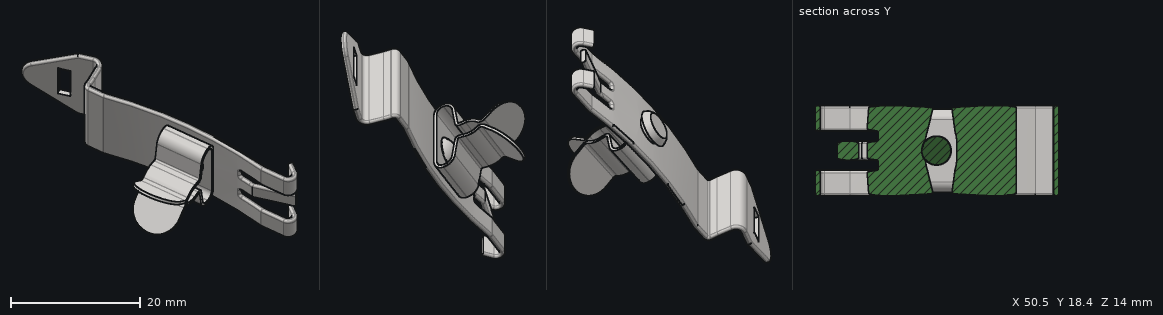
import cadquery as cq
import math


STRIP_WIDTH = 14.0
STRIP_THICKNESS = 0.9
EDGE_RADIUS = 0.4
ARCH_LEFT = -15.2
ARCH_RIGHT = 13.4
ARCH_SLOPE = 11.4
TIP_X = -31.63
TIP_RADIUS = 3.0
TIP_HALF_ANGLE = 30.0
PLATE_TILT = 15.0
PLATE_RISE = 5.87
RISER_X = -18.5
RISER_LEAN = 5.8
LEAN_RISE = 1.36
PLATE_BEND = 1.3
LEAN_BEND = 12.5
FOOT_BEND = 0.6
WINDOW_LENGTH = 2.0
WINDOW_HEIGHT = 6.0
WINDOW_FROM_TIP = 6.0
HOOK_BEND = 1.05
HOOK_START_X = 17.35
HOOK_TURN = 140.0
HOOK_STRAIGHT = 1.78
TONGUE_WIDTH = 3.0
SLOT_WIDTH = 1.5
SLOT_END_X = 9.05
SLOT_CORNER_RADIUS = 0.3
TONGUE_KINK_X = 11.55
TONGUE_END_X = 18.2
TONGUE_TILT = 15.0

CLIP_WIDTH = 8.0
CLIP_THICKNESS = 0.5
CLIP_TOP_Z = 6.2
CLIP_BASE_BEND = 1.37
CLIP_SHOULDER = (3.33, CLIP_TOP_Z)
CLIP_HEEL = (4.11, 1.23)
CLIP_BULGE = (6.82, 1.48)
CLIP_THROAT = (8.25, 0.27)
CLIP_END = (13.21, 4.53)
CLIP_SHOULDER_BEND = 1.75
CLIP_HEEL_BEND = 0.55
CLIP_BULGE_BEND = 2.8
CLIP_THROAT_BEND = 0.8

BACK_HEAD_DIAMETER = 6.1
SHANK_DIAMETER = 4.5
BACK_HEAD_GAP = 0.75
BACK_HEAD_HEIGHT = 1.07
BACK_HEAD_FLAT_DIAMETER = 4.4
BACK_HEAD_BULGE = 0.12
DOME_DIAMETER = 5.0
DOME_HEIGHT = 1.28


def unit(start, end):
    """Unit vector from start to end."""
    length = math.dist(start, end)
    return ((end[0] - start[0]) / length, (end[1] - start[1]) / length)


def bent_sheet(corners, bends, thickness):
    """Closed section of a sheet whose middle line runs through the corners.

    Each inner corner has a bend radius at the sheet middle; zero gives a sharp fold.
    """
    half = thickness / 2
    sides = {half: [], -half: []}
    for side, stretches in sides.items():
        first = unit(corners[0], corners[1])
        last = unit(corners[-2], corners[-1])
        stretches.append([(corners[0][0] - side * first[1], corners[0][1] + side * first[0])])
        for before, corner, after, bend in zip(corners, corners[1:], corners[2:], bends):
            into = unit(before, corner)
            out = unit(corner, after)
            cross = into[0] * out[1] - into[1] * out[0]
            dot = into[0] * out[0] + into[1] * out[1]
            turn = math.atan2(cross, dot)
            to_left = (-into[1] - out[1], into[0] + out[0])
            size = math.hypot(*to_left)
            left = (to_left[0] / size, to_left[1] / size)
            reach = 1 / math.cos(turn / 2)
            if bend == 0:
                stretches.append([(corner[0] + left[0] * side * reach, corner[1] + left[1] * side * reach)])
                continue
            inward = math.copysign(1, turn)
            to_centre = inward * bend * reach
            centre = (corner[0] + left[0] * to_centre, corner[1] + left[1] * to_centre)
            radius = bend - inward * side
            stretches.append([
                (centre[0] - inward * radius * normal[0], centre[1] - inward * radius * normal[1])
                for normal in ((-into[1], into[0]), left, (-out[1], out[0]))
            ])
        stretches.append([(corners[-1][0] - side * last[1], corners[-1][1] + side * last[0])])

    loop = sides[half] + [stretch[::-1] for stretch in reversed(sides[-half])]
    here = loop[0][0]
    section = cq.Workplane("XY").moveTo(*here)
    for stretch in loop[1:]:
        if math.dist(here, stretch[0]) > 1e-6:
            section = section.lineTo(*stretch[0])
        if len(stretch) == 3:
            section = section.threePointArc(stretch[1], stretch[2])
        here = stretch[-1]
    return section.close()


arch_slope = math.radians(ARCH_SLOPE)
arch_x = (ARCH_LEFT + ARCH_RIGHT) / 2
arch_half_span = (ARCH_RIGHT - ARCH_LEFT) / 2
fold_relief = STRIP_THICKNESS / 2 * math.tan(arch_slope / 2)
arch_radius = (arch_half_span / math.cos(arch_slope) - fold_relief) / math.tan(arch_slope)
arch_centre_y = STRIP_THICKNESS / 2 - arch_radius
arch_peak_y = arch_centre_y + arch_radius / math.cos(arch_slope)
flat_y = arch_peak_y - arch_half_span * math.tan(arch_slope)

tilt = math.radians(PLATE_TILT)
riser_top = (RISER_X - (PLATE_RISE - LEAN_RISE) * math.tan(math.radians(RISER_LEAN)), flat_y + PLATE_RISE)
tip = (TIP_X, riser_top[1] - (riser_top[0] - TIP_X) * math.tan(tilt))


def arch_height(x, offset):
    """Y on the arch at the given x, offset from the sheet middle."""
    return arch_centre_y + math.sqrt((arch_radius + offset) ** 2 - (x - arch_x) ** 2)


def strip_blank():
    hook_turn = math.radians(HOOK_TURN)
    hook_reach = HOOK_BEND * math.tan(hook_turn / 2)
    hook_corner = (HOOK_START_X + hook_reach, flat_y)
    hook_length = hook_reach + HOOK_STRAIGHT
    corners = [
        tip,
        riser_top,
        (RISER_X, flat_y + LEAN_RISE),
        (RISER_X, flat_y),
        (ARCH_LEFT, flat_y),
        (arch_x, arch_peak_y),
        (ARCH_RIGHT, flat_y),
        hook_corner,
        (hook_corner[0] + hook_length * math.cos(hook_turn), flat_y + hook_length * math.sin(hook_turn)),
    ]
    bends = [PLATE_BEND, LEAN_BEND, FOOT_BEND, 0, arch_radius, 0, HOOK_BEND]
    section = bent_sheet(corners, bends, STRIP_THICKNESS)
    return section.extrude(STRIP_WIDTH / 2, both=True)


def on_plate(tool):
    """Move a tool drawn with the plate along +X from the origin onto the tilted plate."""
    return tool.rotate((0, 0, 0), (0, 0, 1), PLATE_TILT).translate((tip[0], tip[1], 0))


def tip_trim():
    """Waste outside the tapered, rounded tip."""
    half_angle = math.radians(TIP_HALF_ANGLE)
    half_width = STRIP_WIDTH / 2
    tangent_x = TIP_RADIUS * (1 - math.sin(half_angle))
    tangent_z = TIP_RADIUS * math.cos(half_angle)
    shoulder_x = tangent_x + (half_width - tangent_z) / math.tan(half_angle)
    margin = 2.0
    waste = (
        cq.Workplane("XZ")
        .moveTo(-margin, -half_width - margin)
        .lineTo(shoulder_x, -half_width - margin)
        .lineTo(shoulder_x, -half_width)
        .lineTo(tangent_x, -tangent_z)
        .threePointArc((0, 0), (tangent_x, tangent_z))
        .lineTo(shoulder_x, half_width)
        .lineTo(shoulder_x, half_width + margin)
        .lineTo(-margin, half_width + margin)
        .close()
        .extrude(STRIP_THICKNESS, both=True)
    )
    return on_plate(waste)


def window():
    tool = cq.Workplane("XY").box(WINDOW_LENGTH, 2 * STRIP_THICKNESS, WINDOW_HEIGHT)
    return on_plate(tool.translate((WINDOW_FROM_TIP + WINDOW_LENGTH / 2, 0, 0)))


def block(x_from, x_to, z_from, z_to):
    """Box through the whole depth of the strip."""
    depth = 20.0
    size = (x_to - x_from, depth, z_to - z_from)
    return cq.Workplane("XY").box(*size).translate(((x_from + x_to) / 2, 0, (z_from + z_to) / 2))


def tongue():
    half = STRIP_THICKNESS / 2
    slope = math.tan(math.radians(TONGUE_TILT))
    front = arch_height(TONGUE_KINK_X, -half)
    back = arch_height(TONGUE_KINK_X, half)
    end_lean = (back - front) * math.sin(2 * math.radians(TONGUE_TILT)) / 4
    front_x = TONGUE_END_X + end_lean
    back_x = TONGUE_END_X - end_lean
    return (
        cq.Workplane("XY")
        .moveTo(TONGUE_KINK_X, front)
        .lineTo(front_x, front + (front_x - TONGUE_KINK_X) * slope)
        .lineTo(back_x, back + (back_x - TONGUE_KINK_X) * slope)
        .lineTo(TONGUE_KINK_X, back)
        .close()
        .extrude(TONGUE_WIDTH / 2, both=True)
    )


def is_rim(edge):
    """True for edges around the outline and slots, on the front and back faces."""
    if edge.geomType() != "LINE":
        return True
    if abs(edge.tangentAt(0).z) > 0.999:
        return abs(edge.Center().x - SLOT_END_X) < 0.001
    return abs(edge.Length() - STRIP_THICKNESS) > 0.05


def make_strip():
    beyond = HOOK_START_X + 10
    half_tongue = TONGUE_WIDTH / 2
    slot_outer = half_tongue + SLOT_WIDTH
    strip = strip_blank().cut(tip_trim())
    for z in (-slot_outer, half_tongue):
        slot = block(SLOT_END_X, beyond, z, z + SLOT_WIDTH)
        strip = strip.cut(slot.edges("|Y and <X").fillet(SLOT_CORNER_RADIUS))
    strip = strip.cut(block(TONGUE_KINK_X, beyond, -half_tongue, half_tongue))
    strip = strip.union(tongue(), clean=False)
    strip = strip.newObject([edge for edge in strip.edges().vals() if is_rim(edge)]).fillet(EDGE_RADIUS)
    return strip.cut(window()).cut(rivet_hole())


clip_half_thickness = CLIP_THICKNESS / 2
arch_front_radius = arch_radius - STRIP_THICKNESS / 2
base_reach = CLIP_WIDTH / 2 + abs(arch_x)
base_back_y = arch_centre_y + math.sqrt(arch_front_radius**2 - base_reach**2)
base_middle_y = base_back_y - clip_half_thickness


def make_clip():
    leg = [
        (CLIP_SHOULDER, CLIP_SHOULDER_BEND),
        (CLIP_HEEL, CLIP_HEEL_BEND),
        (CLIP_BULGE, CLIP_BULGE_BEND),
        (CLIP_THROAT, CLIP_THROAT_BEND),
    ]
    base_corner = (base_middle_y, CLIP_TOP_Z)
    upper = [base_corner] + [(-depth, z) for (depth, z), _ in leg] + [(-CLIP_END[0], CLIP_END[1])]
    bends = [CLIP_BASE_BEND] + [bend for _, bend in leg]
    lower = [(y, -z) for y, z in reversed(upper)]
    section = bent_sheet(lower + upper, bends[::-1] + bends, CLIP_THICKNESS)
    clip = section.extrude(CLIP_WIDTH / 2, both=True)
    clip = clip.rotate((0, 0, 0), (1, 1, 1), 120)
    for side in (1, -1):
        clip = clip.cut(lip_trim(side))
    return clip.cut(rivet_hole())


def lip_trim(side):
    """Waste around the half-round free end of the upper (side 1) or lower (side -1) lip."""
    lip_angle = math.degrees(math.atan2(CLIP_END[1] - CLIP_THROAT[1], CLIP_END[0] - CLIP_THROAT[0]))
    radius = CLIP_WIDTH / 2
    margin = 1.0
    waste = (
        cq.Workplane("XY")
        .moveTo(-radius, radius)
        .threePointArc((0, 0), (radius, radius))
        .lineTo(radius + margin, radius)
        .lineTo(radius + margin, -margin)
        .lineTo(-radius - margin, -margin)
        .lineTo(-radius - margin, radius)
        .close()
        .extrude(CLIP_THICKNESS, both=True)
    )
    waste = waste.rotate((0, 0, 0), (1, 0, 0), -side * lip_angle)
    return waste.translate((0, -CLIP_END[0], side * CLIP_END[1]))


dome_base_y = base_back_y - CLIP_THICKNESS
back_head_y = STRIP_THICKNESS + BACK_HEAD_GAP


def rivet_hole():
    start = cq.Workplane("XZ", origin=(0, back_head_y, 0))
    return start.circle(SHANK_DIAMETER / 2).extrude(back_head_y - dome_base_y)


def make_rivet():
    head_radius = BACK_HEAD_DIAMETER / 2
    shank_radius = SHANK_DIAMETER / 2
    flat_radius = BACK_HEAD_FLAT_DIAMETER / 2
    back_y = back_head_y + BACK_HEAD_HEIGHT
    dome_edge = DOME_DIAMETER / 2
    dome_radius = (dome_edge**2 + DOME_HEIGHT**2) / (2 * DOME_HEIGHT)
    slant = math.hypot(head_radius - flat_radius, BACK_HEAD_HEIGHT)
    shoulder = (
        (head_radius + flat_radius) / 2 + BACK_HEAD_BULGE * BACK_HEAD_HEIGHT / slant,
        (back_head_y + back_y) / 2 + BACK_HEAD_BULGE * (head_radius - flat_radius) / slant,
    )
    dome_middle_x = dome_edge / 2
    dome_sink = dome_radius - math.sqrt(dome_radius**2 - dome_middle_x**2)
    half_profile = (
        cq.Workplane("XY")
        .moveTo(0, dome_base_y - DOME_HEIGHT)
        .threePointArc((dome_middle_x, dome_base_y - DOME_HEIGHT + dome_sink), (dome_edge, dome_base_y))
        .lineTo(shank_radius, dome_base_y)
        .lineTo(shank_radius, back_head_y)
        .lineTo(head_radius, back_head_y)
        .threePointArc(shoulder, (flat_radius, back_y))
        .lineTo(0, back_y)
        .close()
    )
    return half_profile.revolve(360, (0, 0, 0), (0, 1, 0))


strip = make_strip()
clip = make_clip()
rivet = make_rivet()
result = cq.Compound.makeCompound([strip.val(), clip.val(), rivet.val()])